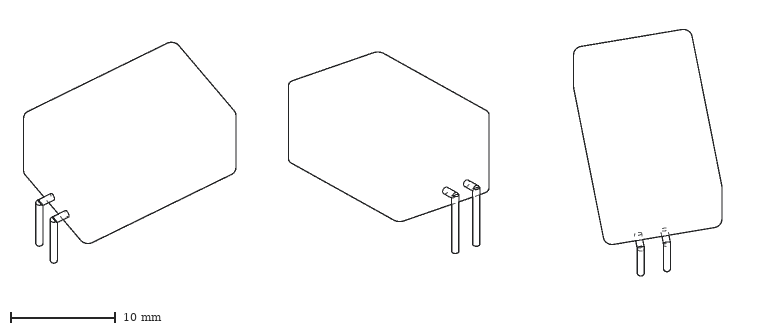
import cadquery as cq

body_width = 11.5
body_length = 17.5
body_height = 8.5
corner_radius = 0.875
rim_radius = corner_radius / 2

pin_diameter = 0.7
pin_pitch = 2.54
pin_exit_height = 1.9
pin_embed_depth = 1.0
flush_pin_x = -pin_pitch
bent_pin_positions = [0, pin_pitch]

leg_offset = 1.5
leg_top_height = 2.0
leg_drop = 4.1
tip_radius = 0.15

front_y = -body_length / 2
pin_radius = pin_diameter / 2


def make_body():
    """Block with rounded upright corners and rounded top and bottom rims."""
    block = cq.Workplane("XY").box(body_width, body_length, body_height, centered=(True, True, False))
    block = block.edges("|Z").fillet(corner_radius)
    return block.faces("<Z or >Z").edges().fillet(rim_radius)


def make_straight_pin(x, protrusion):
    """Wire along Y, starting inside the body and ending `protrusion` in front of it."""
    start = cq.Workplane("XZ", origin=(x, front_y + pin_embed_depth, pin_exit_height))
    return start.circle(pin_radius).extrude(pin_embed_depth + protrusion)


def make_leg(x):
    """Vertical wire with a rounded lower tip."""
    top = cq.Workplane("XY", origin=(x, front_y - leg_offset, leg_top_height))
    leg = top.circle(pin_radius).extrude(-(leg_top_height + leg_drop))
    return leg.faces("<Z").edges().fillet(tip_radius)


result = make_body().union(make_straight_pin(flush_pin_x, 0), clean=False)
for pin_x in bent_pin_positions:
    result = result.union(make_straight_pin(pin_x, leg_offset), clean=False)
    result = result.union(make_leg(pin_x), clean=False)